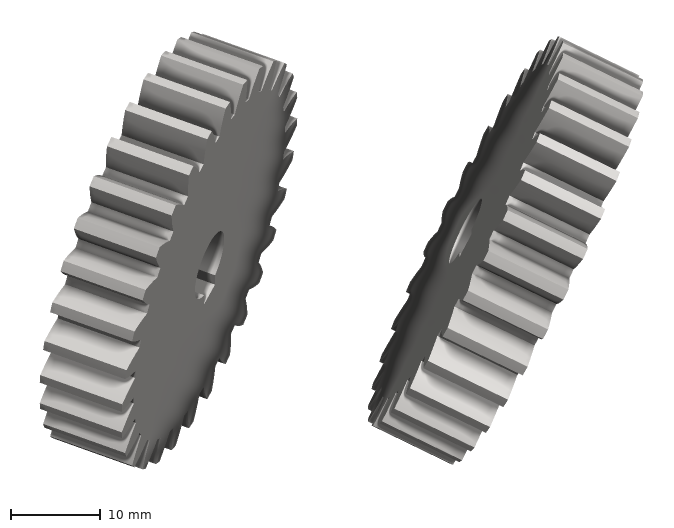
import cadquery as cq
import math

tooth_count = 30
outer_diameter = 48.0
face_width = 10.0

module = outer_diameter / (tooth_count + 2)
outer_radius = outer_diameter / 2
pitch_radius = outer_radius - module
root_radius = pitch_radius - 1.25 * module

tip_thickness = 1.25
root_thickness = 3.2

bore_diameter = 8.0
keyway_width = 3.0
keyway_reach = 5.4

pitch_angle = 360 / tooth_count
tip_half_angle = math.degrees(math.asin(tip_thickness / 2 / outer_radius))
flank_half_angle = pitch_angle / 4
root_half_angle = math.degrees(math.asin(root_thickness / 2 / root_radius))


def polar(radius, angle):
    """Point at an angle in degrees measured from +Z towards +Y."""
    angle = math.radians(angle)
    return radius * math.sin(angle), radius * math.cos(angle)


def gear_blank():
    """Toothed disc; each tooth has arc flanks, an arc tip and an arc root gap after it."""
    outline = cq.Workplane("YZ").moveTo(*polar(root_radius, -root_half_angle))
    for tooth in range(tooth_count):
        centre = tooth * pitch_angle
        outline = (
            outline
            .threePointArc(
                polar(pitch_radius, centre - flank_half_angle),
                polar(outer_radius, centre - tip_half_angle),
            )
            .threePointArc(
                polar(outer_radius, centre),
                polar(outer_radius, centre + tip_half_angle),
            )
            .threePointArc(
                polar(pitch_radius, centre + flank_half_angle),
                polar(root_radius, centre + root_half_angle),
            )
            .threePointArc(
                polar(root_radius, centre + pitch_angle / 2),
                polar(root_radius, centre + pitch_angle - root_half_angle),
            )
        )
    return outline.close().extrude(face_width / 2, both=True)


def keyed_bore():
    """Through bore with a rectangular keyway on its lower side (-Z)."""
    bore = cq.Workplane("YZ").circle(bore_diameter / 2).extrude(face_width / 2, both=True)
    keyway = (
        cq.Workplane("XY")
        .box(face_width, keyway_width, keyway_reach)
        .translate((0, 0, -keyway_reach / 2))
    )
    return bore.union(keyway)


result = gear_blank().cut(keyed_bore())